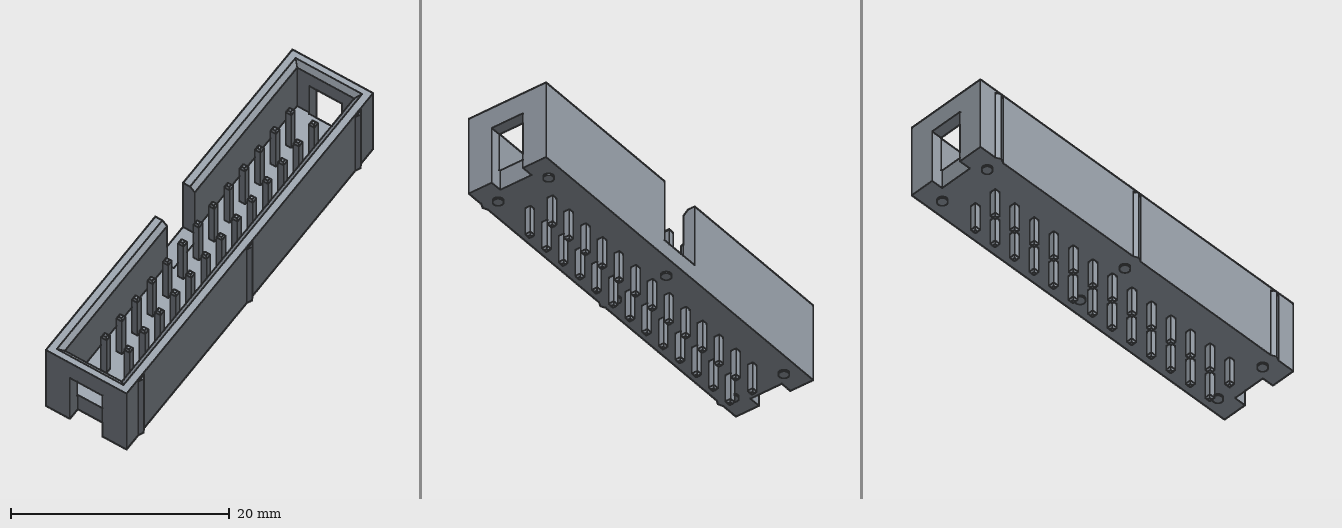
import cadquery as cq


body_width = 8.85
body_length = 40.7
body_height = 8.8
floor_top = 2.28
side_wall = 1.3
end_wall = 1.2
lead_in_width = 0.53
lead_in_depth = 0.5

notch_length = 4.55
notch_depth = 2.05
notch_bottom = 1.87

slot_width = 3.6
slot_top = 6.43
slot_depth = 1.3

rib_projection = 0.25
rib_width = 1.0
rib_height = 8.42
foot_diameter = 1.0
foot_height = 0.2
foot_offset_x = 2.9
support_spacing = 17.9

pin_columns = 13
pin_rows = 2
pin_pitch = 2.54
pin_size = 0.6
pin_top = 7.65
pin_bottom = -3.3
pin_tip_length = 0.25
pin_tip_size = 0.33

support_positions_y = [-support_spacing, 0, support_spacing]


def block(size_x, size_y, bottom, top):
    """Box centred on the Z axis between two heights."""
    return cq.Workplane("XY").workplane(offset=bottom).rect(size_x, size_y).extrude(top - bottom)


def make_housing():
    cavity_width = body_width - 2 * side_wall
    cavity_length = body_length - 2 * end_wall
    cavity = block(cavity_width, cavity_length, floor_top, body_height)
    lead_in = (
        cq.Workplane("XY")
        .workplane(offset=body_height - lead_in_depth)
        .rect(cavity_width, cavity_length)
        .workplane(offset=lead_in_depth)
        .rect(cavity_width + 2 * lead_in_width, cavity_length + 2 * lead_in_width)
        .loft(ruled=True)
    )
    return block(body_width, body_length, 0, body_height).cut(cavity).cut(lead_in)


def make_notch():
    centre_x = (notch_depth - body_width) / 2
    return block(notch_depth, notch_length, notch_bottom, body_height).translate((centre_x, 0, 0))


def make_end_slot(side):
    centre_y = side * (body_length - slot_depth) / 2
    return block(slot_width, slot_depth, 0, slot_top).translate((0, centre_y, 0))


def make_rib(centre_y):
    """Vertical rib of triangular section on the +X wall."""
    wall_x = body_width / 2
    return (
        cq.Workplane("XY")
        .moveTo(wall_x, centre_y - rib_width / 2)
        .lineTo(wall_x + rib_projection, centre_y)
        .lineTo(wall_x, centre_y + rib_width / 2)
        .close()
        .extrude(rib_height)
    )


def make_feet():
    centres = [(side * foot_offset_x, y) for side in (-1, 1) for y in support_positions_y]
    return cq.Workplane("XY").pushPoints(centres).circle(foot_diameter / 2).extrude(-foot_height)


def make_pin_tip(base, end):
    """Pyramid frustum that narrows from the pin section at base to the flat at end."""
    return (
        cq.Workplane("XY")
        .workplane(offset=base)
        .rect(pin_size, pin_size)
        .workplane(offset=end - base)
        .rect(pin_tip_size, pin_tip_size)
        .loft(ruled=True)
    )


def make_pin():
    shaft_bottom = pin_bottom + pin_tip_length
    shaft_top = pin_top - pin_tip_length
    shaft = block(pin_size, pin_size, shaft_bottom, shaft_top)
    return shaft.union(make_pin_tip(shaft_bottom, pin_bottom)).union(make_pin_tip(shaft_top, pin_top))


result = make_housing().cut(make_notch())
for end_side in (-1, 1):
    result = result.cut(make_end_slot(end_side))
for rib_y in support_positions_y:
    result = result.union(make_rib(rib_y))
result = result.union(make_feet())

pin = make_pin()
for row in range(pin_rows):
    pin_x = (row - (pin_rows - 1) / 2) * pin_pitch
    for column in range(pin_columns):
        pin_y = (column - (pin_columns - 1) / 2) * pin_pitch
        result = result.union(pin.translate((pin_x, pin_y, 0)))

result = result.translate((-rib_projection / 2, 0, 0))